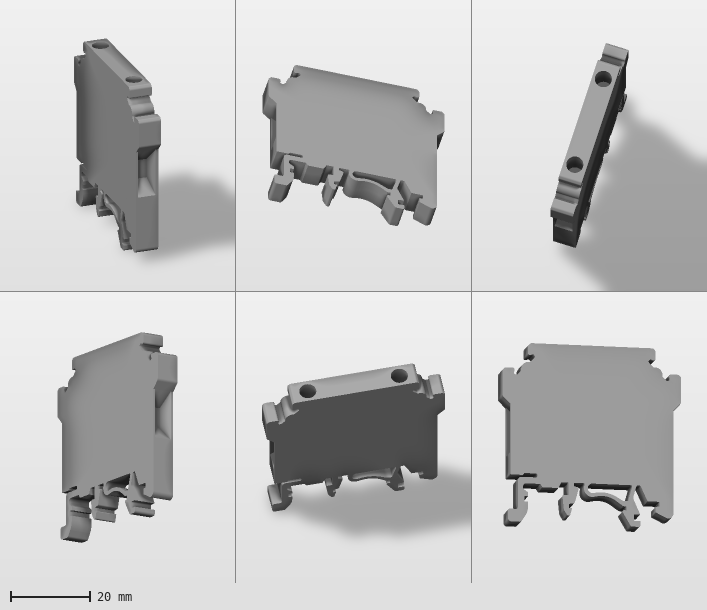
import cadquery as cq
import math

WIDTH = 46.0
THICKNESS = 6.0
HEIGHT = 46.3

BODY_HALF_WIDTH = 21.0
LUG_HALF_WIDTH = WIDTH / 2
LUG_INNER_X = 19.85
LUG_TOP = 39.75
LUG_BOTTOM = 32.4
LUG_SLOPE = LUG_HALF_WIDTH - BODY_HALF_WIDTH
SHOULDER_Z = LUG_BOTTOM - LUG_SLOPE
CAP_HALF_WIDTH = 16.4
CAP_LIP_Z = 43.2
CORNER_CHAMFER = 0.65
CHAMFER_BLEND = 0.6
BODY_FLOOR = 10.67
BODY_LEFT_FLOOR = 12.15

SCREW_DIAMETER = 4.3
SCREW_SPACING = 23.6
SCREW_DEPTH = 10.0
SCREW_Y = -0.1

ENTRY_DEPTH = 3.5
ENTRY_MOUTH_WIDTH = 4.8
ENTRY_MOUTH_BOTTOM = 17.9
ENTRY_MOUTH_TOP = SHOULDER_Z
ENTRY_MOUTH_Y = -0.15
ENTRY_END_WIDTH = 3.2
ENTRY_END_BOTTOM = 21.6
ENTRY_END_TOP = 26.65
ENTRY_END_Y = -0.4


def rounded_outline(corners):
    """Closed XZ wire through (x, z) or (x, z, radius) corners; a radius rounds its corner."""
    corner_points = []
    count = len(corners)
    for index, corner in enumerate(corners):
        point = cq.Vector(corner[0], corner[1])
        if len(corner) == 2:
            corner_points.append((point,))
            continue
        radius = corner[2]
        before = corners[index - 1]
        after = corners[(index + 1) % count]
        to_before = (cq.Vector(before[0], before[1]) - point).normalized()
        to_after = (cq.Vector(after[0], after[1]) - point).normalized()
        half_angle = to_before.getAngle(to_after) / 2
        setback = radius / math.tan(half_angle)
        bisector = (to_before + to_after).normalized()
        middle = point + bisector * (radius / math.sin(half_angle) - radius)
        corner_points.append((point + to_before * setback, middle, point + to_after * setback))

    path = cq.Workplane("XZ").moveTo(corner_points[0][-1].x, corner_points[0][-1].y)
    for points in corner_points[1:] + corner_points[:1]:
        path = path.lineTo(points[0].x, points[0].y)
        if len(points) > 1:
            path = path.threePointArc((points[1].x, points[1].y), (points[2].x, points[2].y))
    return path.close()


def extrude_outline(corners):
    """Plate of the full thickness, centred on Y = 0."""
    return rounded_outline(corners).extrude(THICKNESS / 2, both=True)


def mirrored(corners):
    """The same corners on the other side of X = 0, in reverse order."""
    return [(-corner[0], *corner[1:]) for corner in reversed(corners)]


LEFT_SHOULDER = [
    (-BODY_HALF_WIDTH, SHOULDER_Z),
    (-LUG_HALF_WIDTH, LUG_BOTTOM, 0.9),
    (-LUG_HALF_WIDTH, LUG_TOP - CORNER_CHAMFER, CHAMFER_BLEND),
    (-LUG_HALF_WIDTH + CORNER_CHAMFER, LUG_TOP, CHAMFER_BLEND),
    (-LUG_INNER_X, LUG_TOP, 0.5),
    (-LUG_INNER_X, 39.1, 0.3),
    (-20.3, 38.05, 0.5),
    (-19.2, 38.05, 0.2),
    (-18.2, 39.05, 0.4),
    (-18.2, 41.4, 1.9),
    (-15.9, 41.4, 0.4),
    (-14.5, 42.8, 0.35),
    (-15.1, 43.5, 0.3),
    (-15.7, CAP_LIP_Z, 0.2),
    (-CAP_HALF_WIDTH, CAP_LIP_Z, 0.4),
    (-CAP_HALF_WIDTH, HEIGHT - CORNER_CHAMFER, CHAMFER_BLEND),
    (-CAP_HALF_WIDTH + CORNER_CHAMFER, HEIGHT, CHAMFER_BLEND),
]

RIGHT_HOOK = [
    (BODY_HALF_WIDTH, 3.1, 1.2),
    (19.7, 2.35, 0.9),
    (16.4, 3.95, 0.3),
    (16.4, 5.35),
    (17.4, 5.5),
    (17.4, 6.7),
    (14.35, 6.7),
    (12.5, BODY_FLOOR, 0.3),
]

SPRING_FOOT = [
    (11.55, BODY_FLOOR, 0.4),
    (10.6, 7.4, 1.0),
    (12.45, 3.2),
    (10.85, 3.2, 0.3),
    (10.85, 1.5, 0.2),
    (12.55, 1.5),
    (12.55, 0, 0.6),
    (10.1, 0, 0.6),
    (7.85, 3.75, 0.2),
    (8.2, 4.15, 0.2),
    (8.9, 4.15),
    (8.9, 5.17),
    (8.1, 5.17),
    (4.0, 8.0, 6.0),
    (-2.1, 6.7, 2.1),
    (-2.0, 9.8, 0.9),
    (-1.75, BODY_FLOOR, 0.3),
]

MIDDLE_HOOK = [
    (-4.55, BODY_FLOOR),
    (-4.55, 9.8),
    (-3.3, 9.5, 0.4),
    (-4.4, 5.45, 0.4),
    (-5.9, 5.17),
    (-5.9, 4.15),
    (-5.05, 4.15, 0.2),
    (-5.6, 2.15, 0.3),
    (-6.3, 2.15, 0.4),
    (-7.2, 3.6, 1.0),
    (-7.6, 7.45, 0.5),
    (-6.05, 7.45),
    (-6.05, BODY_FLOOR),
]

LEFT_FOOT = [
    (-7.85, BODY_FLOOR, 0.3),
    (-8.6, 9.15),
    (-12.7, 9.15),
    (-13.25, 10.0),
    (-17.7, 10.0, 0.8),
    (-17.7, 8.6, 0.4),
    (-16.4, 7.7, 0.3),
    (-16.4, 6.7),
    (-17.4, 6.7),
    (-17.4, 5.3),
    (-16.4, 5.3),
    (-16.4, 2.8, 4.5),
    (-18.2, 0, 0.7),
    (-21.55, 0, 0.8),
    (-21.55, 3.3, 0.5),
    (-19.05, 3.3, 0.5),
    (-19.05, 11.65, 1.0),
    (-14.0, 11.65, 0.45),
    (-14.0, 12.65, 0.45),
    (-17.4, 12.65),
    (-17.7, BODY_LEFT_FLOOR),
    (-BODY_HALF_WIDTH, BODY_LEFT_FLOOR, 0.3),
]

SPRING_WINDOW = [
    (-1.05, BODY_FLOOR, 1.22),
    (-1.05, 7.85, 1.22),
    (3.7, 9.1, 7.8),
    (8.1, 6.5, 1.5),
    (9.3, 6.5, 0.4),
    (10.5, BODY_FLOOR, 0.3),
]


def entry_section(workplane, width, y, bottom, top):
    """Rectangle of a wire entry on a YZ workplane."""
    middle = (bottom + top) / 2
    section = workplane.center(y, middle).rect(width, top - bottom)
    return section.center(-y, -middle)


def left_wire_entry():
    """Tapered pocket that narrows from the left side wall inward."""
    mouth = cq.Workplane("YZ", origin=(-BODY_HALF_WIDTH, 0, 0))
    mouth = entry_section(mouth, ENTRY_MOUTH_WIDTH, ENTRY_MOUTH_Y, ENTRY_MOUTH_BOTTOM, ENTRY_MOUTH_TOP)
    end = mouth.workplane(offset=ENTRY_DEPTH)
    end = entry_section(end, ENTRY_END_WIDTH, ENTRY_END_Y, ENTRY_END_BOTTOM, ENTRY_END_TOP)
    return end.loft(ruled=True)


def screw_hole(x):
    """Blind round hole from the top face."""
    top = cq.Workplane("XY", origin=(x, SCREW_Y, HEIGHT))
    return top.circle(SCREW_DIAMETER / 2).extrude(-SCREW_DEPTH)


plate = extrude_outline(
    LEFT_SHOULDER + mirrored(LEFT_SHOULDER) + RIGHT_HOOK + SPRING_FOOT + MIDDLE_HOOK + LEFT_FOOT
)
result = plate.cut(extrude_outline(SPRING_WINDOW))

for side in (-1, 1):
    result = result.cut(screw_hole(side * SCREW_SPACING / 2))

wire_entry = left_wire_entry()
result = result.cut(wire_entry).cut(wire_entry.mirror("YZ"))